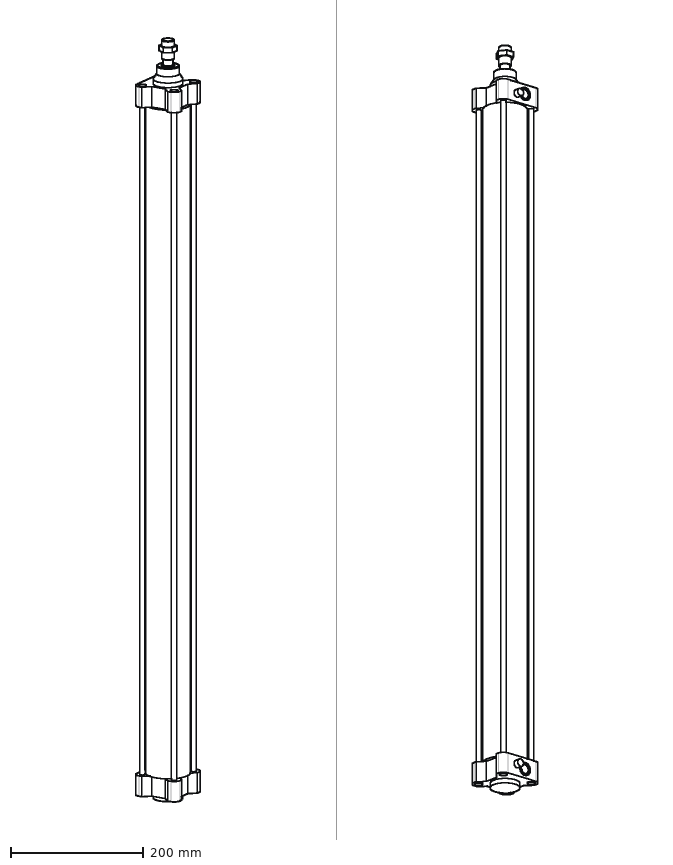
import cadquery as cq

TOTAL_LENGTH = 1194.0
HEAD_WIDTH = 76.0
HEAD_HEIGHT = 32.0
HEAD_FACE_DROP = 69.0
SPIGOT_DIAMETER = 45.0
REAR_SPIGOT_HEIGHT = 7.0
FRONT_SPIGOT_HEIGHT = 7.0
GLAND_DIAMETER = 35.0
GLAND_DROP = 40.0
GLAND_HEIGHT = 13.0
GLAND_CHAMFER = 1.0
BARREL_DIAMETER = 68.0

TIE_ROD_DIAMETER = 8.0
TIE_ROD_OFFSET = 28.2
LOBE_RADIUS = HEAD_WIDTH / 2 - TIE_ROD_OFFSET
SCREW_RECESS_DIAMETER = 12.0
SCREW_RECESS_DEPTH = 4.0

RECESS_FLOOR = 27.0
RECESS_HALF_MOUTH = 23.0
RECESS_HALF_FLOOR = 12.0
RECESS_TURNS = (-90, 0, 90)

PORT_DIAMETER = 14.0
PORT_DEPTH = 14.0
PORT_BORE_DIAMETER = 20.0
PORT_BORE_DEPTH = 1.0
PORT_Y = -7.0
CUSHION_SCREW_DIAMETER = 12.0
CUSHION_SCREW_LENGTH = 8.0
CUSHION_SCREW_Y = 10.0
PORT_SIDE_SHIFT = 1.0
CUSHION_SHIFT = 2.0

ROD_DIAMETER = 20.0
THREAD_DIAMETER = 19.0
THREAD_LENGTH = 30.0
NECK_DIAMETER = 15.0
NECK_LENGTH = 10.0
TIP_CHAMFER = 1.0

NUT_FLATS = 24.0
NUT_HEIGHT = 8.0
NUT_DROP = 10.0

REAR_HEAD_Z = REAR_SPIGOT_HEIGHT
BARREL_BASE_Z = REAR_HEAD_Z + HEAD_HEIGHT
FRONT_HEAD_TOP_Z = TOTAL_LENGTH - HEAD_FACE_DROP
FRONT_HEAD_Z = FRONT_HEAD_TOP_Z - HEAD_HEIGHT
BARREL_LENGTH = FRONT_HEAD_Z - BARREL_BASE_Z
FRONT_SPIGOT_TOP_Z = FRONT_HEAD_TOP_Z + FRONT_SPIGOT_HEIGHT
GLAND_TOP_Z = TOTAL_LENGTH - GLAND_DROP
GLAND_BASE_Z = GLAND_TOP_Z - GLAND_HEIGHT
THREAD_BASE_Z = TOTAL_LENGTH - THREAD_LENGTH
NECK_BASE_Z = THREAD_BASE_Z - NECK_LENGTH
NUT_BASE_Z = TOTAL_LENGTH - NUT_DROP - NUT_HEIGHT

CORNERS = [(sx * TIE_ROD_OFFSET, sy * TIE_ROD_OFFSET) for sx in (-1, 1) for sy in (-1, 1)]


def cylinder(diameter, base_z, height):
    return cq.Workplane("XY").workplane(offset=base_z).circle(diameter / 2).extrude(height)


def make_head(base_z, outer_z, barrel_direction):
    """Square head; outer_z is its exposed face, barrel_direction is +1 or -1 along Z."""
    half = HEAD_WIDTH / 2
    head = (
        cq.Workplane("XY").workplane(offset=base_z)
        .rect(HEAD_WIDTH, HEAD_WIDTH).extrude(HEAD_HEIGHT)
        .edges("|Z").fillet(LOBE_RADIUS)
    )
    recess = (
        cq.Workplane("XY").workplane(offset=base_z)
        .polyline([
            (half, -RECESS_HALF_MOUTH),
            (RECESS_FLOOR, -RECESS_HALF_FLOOR),
            (RECESS_FLOOR, RECESS_HALF_FLOOR),
            (half, RECESS_HALF_MOUTH),
        ])
        .close().extrude(HEAD_HEIGHT)
    )
    for turn in RECESS_TURNS:
        head = head.cut(recess.rotate((0, 0, 0), (0, 0, 1), turn))

    screw_recesses = (
        cq.Workplane("XY").workplane(offset=outer_z).pushPoints(CORNERS)
        .circle(SCREW_RECESS_DIAMETER / 2)
        .extrude(barrel_direction * SCREW_RECESS_DEPTH)
    )
    head = head.cut(screw_recesses)

    mid_z = base_z + HEAD_HEIGHT / 2
    port_z = mid_z - barrel_direction * PORT_SIDE_SHIFT
    port = (
        cq.Workplane("YZ", origin=(-half, PORT_Y, port_z))
        .circle(PORT_DIAMETER / 2).extrude(PORT_DEPTH)
    )
    port = port.union(
        cq.Workplane("YZ", origin=(-half, PORT_Y, port_z))
        .circle(PORT_BORE_DIAMETER / 2).extrude(PORT_BORE_DEPTH)
    )
    cushion_screw = (
        cq.Workplane("YZ", origin=(-half, CUSHION_SCREW_Y, mid_z + barrel_direction * CUSHION_SHIFT))
        .circle(CUSHION_SCREW_DIAMETER / 2).extrude(-CUSHION_SCREW_LENGTH)
    )
    return head.cut(port).union(cushion_screw)


def make_housing():
    housing = cylinder(BARREL_DIAMETER, BARREL_BASE_Z, BARREL_LENGTH)
    housing = housing.union(make_head(REAR_HEAD_Z, REAR_HEAD_Z, 1))
    housing = housing.union(make_head(FRONT_HEAD_Z, FRONT_HEAD_TOP_Z, -1))
    housing = housing.union(
        cq.Workplane("XY").workplane(offset=BARREL_BASE_Z).pushPoints(CORNERS)
        .circle(TIE_ROD_DIAMETER / 2).extrude(BARREL_LENGTH)
    )
    housing = housing.union(cylinder(SPIGOT_DIAMETER, 0, REAR_SPIGOT_HEIGHT))
    housing = housing.union(cylinder(SPIGOT_DIAMETER, FRONT_HEAD_TOP_Z, FRONT_SPIGOT_HEIGHT))
    gland = cylinder(GLAND_DIAMETER, GLAND_BASE_Z, GLAND_HEIGHT).faces(">Z").chamfer(GLAND_CHAMFER)
    housing = housing.union(gland)
    flare = (
        cq.Workplane("XY").workplane(offset=FRONT_SPIGOT_TOP_Z)
        .circle(SPIGOT_DIAMETER / 2)
        .workplane(offset=GLAND_BASE_Z - FRONT_SPIGOT_TOP_Z)
        .circle(GLAND_DIAMETER / 2).loft()
    )
    housing = housing.union(flare)
    return housing.cut(cylinder(ROD_DIAMETER, FRONT_HEAD_Z, GLAND_TOP_Z - FRONT_HEAD_Z))


def make_rod():
    rod = cylinder(ROD_DIAMETER, FRONT_HEAD_Z, NECK_BASE_Z - FRONT_HEAD_Z)
    neck = cylinder(NECK_DIAMETER, NECK_BASE_Z, NECK_LENGTH)
    thread = cylinder(THREAD_DIAMETER, THREAD_BASE_Z, THREAD_LENGTH).faces(">Z").chamfer(TIP_CHAMFER)
    return rod.union(neck).union(thread)


def make_nut():
    return (
        cq.Workplane("XY").workplane(offset=NUT_BASE_Z)
        .polygon(6, NUT_FLATS, circumscribed=True).circle(THREAD_DIAMETER / 2).extrude(NUT_HEIGHT)
    )


housing = make_housing()
rod = make_rod()
nut = make_nut()

result = cq.Compound.makeCompound([housing.val(), rod.val(), nut.val()])